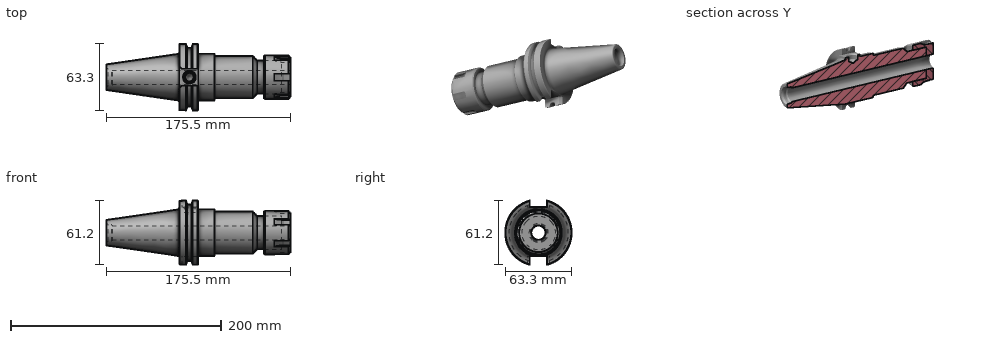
import cadquery as cq
import math


TAPER_LENGTH = 68.3
TAPER_LARGE_RADIUS = 44.4 / 2
TAPER_RATE = 7 / 24
TAPER_SMALL_RADIUS = TAPER_LARGE_RADIUS - TAPER_RATE / 2 * TAPER_LENGTH
TIP_ROUND = 1.2
FLANGE_FILLET = 1.0

FLANGE_START = TAPER_LENGTH + FLANGE_FILLET
FLANGE_END = 87.4
FLANGE_RADIUS = 63.3 / 2
FLANGE_CHAMFER_LENGTH = 0.9
FLANGE_CHAMFER_DEPTH = 0.5
GROOVE_CENTER = 79.1
GROOVE_FLOOR_WIDTH = 3.9
GROOVE_DEPTH = 3.5
GROOVE_MOUTH_WIDTH = 6.7

KEYWAY_WIDTH = 16.1
KEYWAY_CHAMFER = 2.5
TOP_KEYWAY_FLOOR = 24.5
BOTTOM_KEYWAY_FLOOR = 22.3

KEY_HOLE_RADIUS = 10.2 / 2
KEY_HOLE_MOUTH_RADIUS = 12.3 / 2
KEY_HOLE_DEPTH = 5.1
KEY_HOLE_DRILL_RADIUS = 8.0 / 2
KEY_HOLE_TIP_DEPTH = KEY_HOLE_DRILL_RADIUS / math.tan(math.radians(60))

COLLAR_RADIUS = 44.7 / 2
COLLAR_END = 103.3
COLLAR_CHAMFER = 0.7
BODY_RADIUS = 40.5 / 2
BODY_END = 139.1
NECK_RADIUS = 32.0 / 2
NECK_START = BODY_END + BODY_RADIUS - NECK_RADIUS
NECK_END = 166.7

BORE_RADIUS = 13.3 / 2
BORE_MOUTH_RADIUS = 18.0 / 2
BORE_MOUTH_DEPTH = 1.8
COUNTERBORE_RADIUS = 15.8 / 2
COUNTERBORE_DEPTH = 4.7

NUT_START = 150.0
NUT_END = 175.5
NUT_RADIUS = 42.0 / 2
NUT_BACK_CHAMFER = 1.0
NUT_FRONT_CHAMFER_LENGTH = 2.5
NUT_FACE_RADIUS = 18.2

SLOT_COUNT = 6
SLOT_WIDTH = 6.5
SLOT_FLOOR_RADIUS = 18.5
SLOT_FLOOR_START = 167.9
SLOT_CUTTER_RADIUS = 14.7


def revolve_about_x(outline):
    """Turn a closed XY outline, drawn as (axial, radial), about the X axis."""
    return outline.close().revolve(360, (0, 0, 0), (1, 0, 0))


def make_holder_blank():
    groove_floor_radius = FLANGE_RADIUS - GROOVE_DEPTH
    groove_floor_start = GROOVE_CENTER - GROOVE_FLOOR_WIDTH / 2
    groove_floor_end = GROOVE_CENTER + GROOVE_FLOOR_WIDTH / 2
    flange_rim_radius = FLANGE_RADIUS - FLANGE_CHAMFER_DEPTH
    tip_round_end_radius = TAPER_SMALL_RADIUS + TAPER_RATE / 2 * TIP_ROUND
    outline = (
        cq.Workplane("XY")
        .moveTo(0, 0)
        .lineTo(0, tip_round_end_radius - TIP_ROUND)
        .radiusArc((TIP_ROUND, tip_round_end_radius), TIP_ROUND)
        .lineTo(TAPER_LENGTH, TAPER_LARGE_RADIUS)
        .radiusArc((FLANGE_START, TAPER_LARGE_RADIUS + FLANGE_FILLET), -FLANGE_FILLET)
        .lineTo(FLANGE_START, flange_rim_radius)
        .lineTo(FLANGE_START + FLANGE_CHAMFER_LENGTH, FLANGE_RADIUS)
        .lineTo(GROOVE_CENTER - GROOVE_MOUTH_WIDTH / 2, FLANGE_RADIUS)
        .lineTo(groove_floor_start, groove_floor_radius)
        .lineTo(groove_floor_end, groove_floor_radius)
        .lineTo(GROOVE_CENTER + GROOVE_MOUTH_WIDTH / 2, FLANGE_RADIUS)
        .lineTo(FLANGE_END - FLANGE_CHAMFER_LENGTH, FLANGE_RADIUS)
        .lineTo(FLANGE_END, flange_rim_radius)
        .lineTo(FLANGE_END, COLLAR_RADIUS)
        .lineTo(COLLAR_END - COLLAR_CHAMFER, COLLAR_RADIUS)
        .lineTo(COLLAR_END, COLLAR_RADIUS - COLLAR_CHAMFER)
        .lineTo(COLLAR_END, BODY_RADIUS)
        .lineTo(BODY_END, BODY_RADIUS)
        .lineTo(NECK_START, NECK_RADIUS)
        .lineTo(NECK_END, NECK_RADIUS)
        .lineTo(NECK_END, 0)
    )
    return revolve_about_x(outline)


def make_bore():
    """Through bore with a 45 degree step up to the counterbore and a flared mouth."""
    outline = (
        cq.Workplane("XY")
        .moveTo(0, 0)
        .lineTo(0, BORE_MOUTH_RADIUS)
        .lineTo(BORE_MOUTH_DEPTH, COUNTERBORE_RADIUS)
        .lineTo(COUNTERBORE_DEPTH, COUNTERBORE_RADIUS)
        .lineTo(COUNTERBORE_DEPTH + COUNTERBORE_RADIUS - BORE_RADIUS, BORE_RADIUS)
        .lineTo(NUT_END, BORE_RADIUS)
        .lineTo(NUT_END, 0)
    )
    return revolve_about_x(outline)


def make_keyway(floor_height):
    """Keyway cutter above the given height, flared where it opens toward the taper."""
    half_width = KEYWAY_WIDTH / 2
    flared_half_width = half_width + KEYWAY_CHAMFER
    flare_end = FLANGE_START + KEYWAY_CHAMFER
    return (
        cq.Workplane("XY")
        .workplane(offset=floor_height)
        .moveTo(TAPER_LENGTH, -flared_half_width)
        .lineTo(FLANGE_START, -flared_half_width)
        .lineTo(flare_end, -half_width)
        .lineTo(FLANGE_END, -half_width)
        .lineTo(FLANGE_END, half_width)
        .lineTo(flare_end, half_width)
        .lineTo(FLANGE_START, flared_half_width)
        .lineTo(TAPER_LENGTH, flared_half_width)
        .close()
        .extrude(FLANGE_RADIUS - floor_height)
    )


def make_key_hole():
    """Chamfered blind hole with a drill point, running down from the top keyway floor."""
    chamfer = KEY_HOLE_MOUTH_RADIUS - KEY_HOLE_RADIUS
    bottom = TOP_KEYWAY_FLOOR - KEY_HOLE_DEPTH
    profile = (
        cq.Workplane("XZ")
        .moveTo(0, TOP_KEYWAY_FLOOR)
        .lineTo(KEY_HOLE_MOUTH_RADIUS, TOP_KEYWAY_FLOOR)
        .lineTo(KEY_HOLE_RADIUS, TOP_KEYWAY_FLOOR - chamfer)
        .lineTo(KEY_HOLE_RADIUS, bottom)
        .lineTo(KEY_HOLE_DRILL_RADIUS, bottom)
        .lineTo(0, bottom - KEY_HOLE_TIP_DEPTH)
        .close()
    )
    return profile.revolve(360, (0, 0, 0), (0, 1, 0)).translate((GROOVE_CENTER, 0, 0))


def make_holder():
    top_keyway = make_keyway(TOP_KEYWAY_FLOOR)
    bottom_keyway = make_keyway(BOTTOM_KEYWAY_FLOOR).rotate((0, 0, 0), (1, 0, 0), 180)
    return make_holder_blank().cut(make_bore()).cut(top_keyway).cut(bottom_keyway).cut(make_key_hole())


def make_nut_blank():
    """Nut ring with a recess that fits the end of the neck and the bore through its front wall."""
    outline = (
        cq.Workplane("XY")
        .moveTo(NUT_START, NECK_RADIUS)
        .lineTo(NUT_START, NUT_RADIUS - NUT_BACK_CHAMFER)
        .lineTo(NUT_START + NUT_BACK_CHAMFER, NUT_RADIUS)
        .lineTo(NUT_END - NUT_FRONT_CHAMFER_LENGTH, NUT_RADIUS)
        .lineTo(NUT_END, NUT_FACE_RADIUS)
        .lineTo(NUT_END, BORE_RADIUS)
        .lineTo(NECK_END, BORE_RADIUS)
        .lineTo(NECK_END, NECK_RADIUS)
    )
    return revolve_about_x(outline)


def make_spanner_slot():
    """Slot cutter at the top of the nut: flat floor that curves up and out toward the back."""
    cutter_center_height = SLOT_FLOOR_RADIUS + SLOT_CUTTER_RADIUS
    return (
        cq.Workplane("XZ")
        .moveTo(NUT_END, SLOT_FLOOR_RADIUS)
        .lineTo(SLOT_FLOOR_START, SLOT_FLOOR_RADIUS)
        .radiusArc((SLOT_FLOOR_START - SLOT_CUTTER_RADIUS, cutter_center_height), SLOT_CUTTER_RADIUS)
        .lineTo(NUT_END, cutter_center_height)
        .close()
        .extrude(SLOT_WIDTH / 2, both=True)
    )


def make_nut():
    nut = make_nut_blank()
    slot = make_spanner_slot()
    for index in range(SLOT_COUNT):
        nut = nut.cut(slot.rotate((0, 0, 0), (1, 0, 0), index * 360 / SLOT_COUNT))
    return nut


holder = make_holder()
nut = make_nut()

result = cq.Compound.makeCompound([holder.val(), nut.val()])